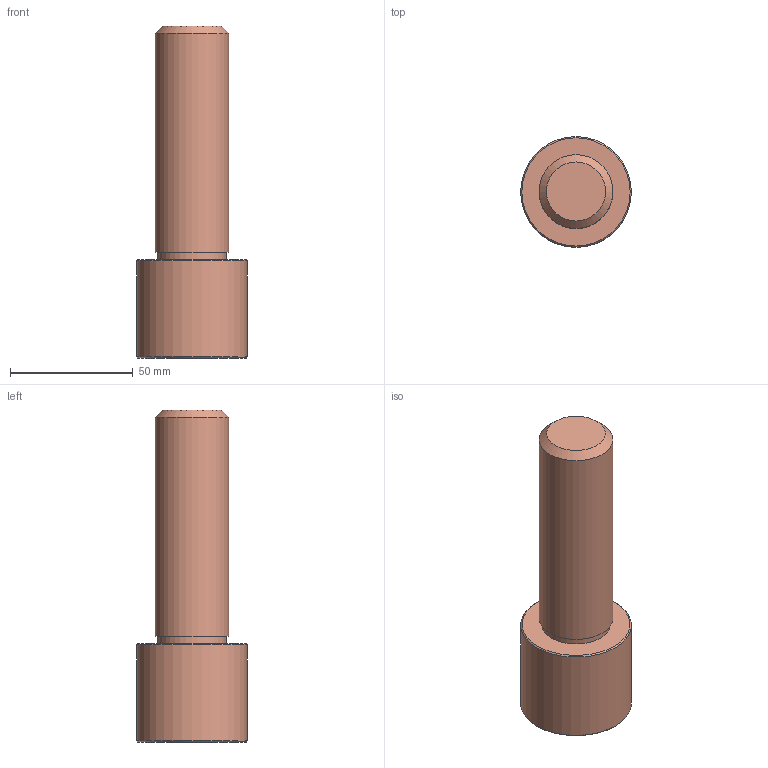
import cadquery as cq

total_height = 135.0

head_diameter = 45.0
head_height = 40.0
head_chamfer = 0.5

neck_diameter = 28.0
neck_height = 3.0

shank_diameter = 30.0
tip_chamfer = 3.0


def make_head():
    """Cylindrical head standing on Z = 0, both rims lightly chamfered."""
    head = cq.Workplane("XY").circle(head_diameter / 2).extrude(head_height)
    return head.faces("|Z").edges().chamfer(head_chamfer)


def make_neck():
    """Narrow relief that joins the head to the shank."""
    return cq.Workplane("XY").workplane(offset=head_height).circle(neck_diameter / 2).extrude(neck_height)


def make_shank():
    """Cylindrical shank with a chamfered tip."""
    shank_base = head_height + neck_height
    shank = (
        cq.Workplane("XY")
        .workplane(offset=shank_base)
        .circle(shank_diameter / 2)
        .extrude(total_height - shank_base)
    )
    return shank.faces(">Z").edges().chamfer(tip_chamfer)


result = make_head().union(make_neck()).union(make_shank())